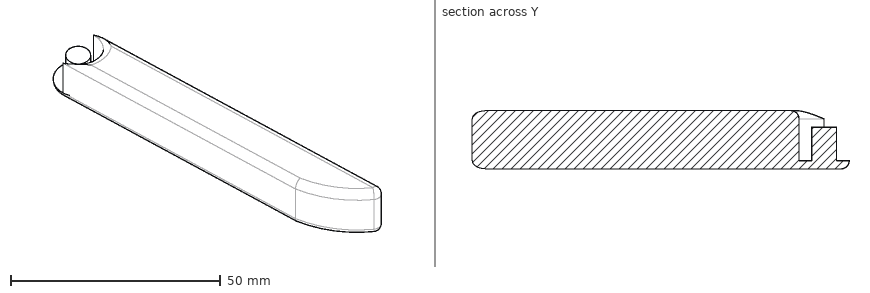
import cadquery as cq

width = 12.0
height = 14.0
edge_radius = 2.0
half_width = width / 2

sweep_start_x = 70.0
sweep_end_x = 90.0
sweep_radius = 30.0

flange_thickness = edge_radius
pin_diameter = 6.0
pin_top_z = 10.0

cut_clearance = 1.0


def rounded_bar():
    """Bar with a half-round pivot end, rounded along its tip and its top and bottom rims."""
    bar = (
        cq.Workplane("XY")
        .moveTo(0, -half_width)
        .lineTo(sweep_start_x, -half_width)
        .radiusArc((sweep_end_x, half_width), -sweep_radius)
        .lineTo(0, half_width)
        .radiusArc((0, -half_width), -half_width)
        .close()
        .extrude(height)
    )
    return bar.edges("<Z or >Z or (|Z and >X)").fillet(edge_radius)


def pivot_recess():
    """Round recess above the flange, flared outwards where it meets the top of the bar."""
    flare_start_z = height - edge_radius
    flare_top_radius = half_width + edge_radius
    recess_top_z = height + cut_clearance
    profile = (
        cq.Workplane("XZ")
        .moveTo(0, flange_thickness)
        .lineTo(half_width, flange_thickness)
        .lineTo(half_width, flare_start_z)
        .radiusArc((flare_top_radius, height), edge_radius)
        .lineTo(flare_top_radius, recess_top_z)
        .lineTo(0, recess_top_z)
        .close()
    )
    return profile.revolve(360, (0, 0, 0), (0, 1, 0))


def pivot_pin():
    """Upright pin standing on the flange, rooted within its thickness."""
    root_z = flange_thickness / 2
    return cq.Workplane("XY").workplane(offset=root_z).circle(pin_diameter / 2).extrude(pin_top_z - root_z)


result = rounded_bar().cut(pivot_recess()).union(pivot_pin())